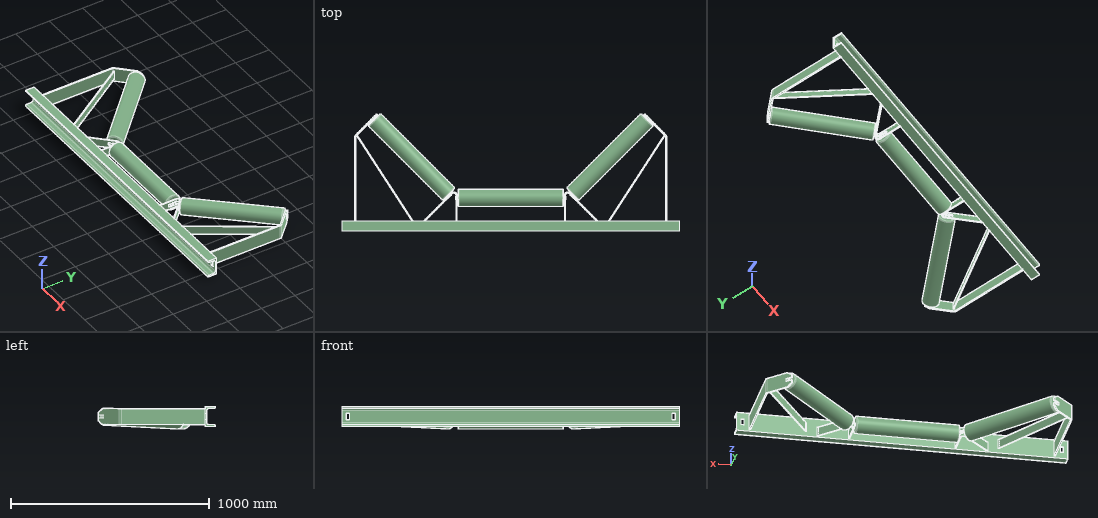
import cadquery as cq
import math

BEAM_LENGTH = 1700.0
BEAM_DEPTH = 51.0
BEAM_HEIGHT = 100.0
WEB_THICKNESS = 7.6
FLANGE_THICKNESS = 10.0
ROOT_RADIUS = 10.0
TOE_RADIUS = 7.0
SLOT_WIDTH = 15.0
SLOT_HEIGHT = 30.0
SLOT_INSET = 30.0

ROLLER_LENGTH = 530.0
ROLLER_DIAMETER = 88.0
ROLLER_EDGE_RADIUS = 5.0
AXLE_SIDE = 14.5
END_GAP = 5.0
CENTRE_ROLLER_Y = 167.0
CENTRE_ROLLER_Z = 30.0

OUTER_STRIP_THICKNESS = 7.6
INNER_STRIP_THICKNESS = 6.0
BEND_RADIUS = 16.2
OUTER_STRIP_HEIGHT = 80.0
INNER_STRIP_HEIGHT = 48.0
UPRIGHT_FACE_X = -785.0
TIP_Y = 590.0
TIP_CHAMFER_ALONG = 27.0
TIP_CHAMFER_ACROSS = 19.0
BRACE_THICKNESS = 5.0
BRACE_HEIGHT = 50.0
BRACE_FOOT_X = -495.0
BRACE_ANGLE = 57

WING_FOOT_X = -308.0
WING_FOOT_Y = 182.0

BEAM_MID_Z = BEAM_HEIGHT / 2
AXLE_LENGTH = ROLLER_LENGTH + 2 * (END_GAP + OUTER_STRIP_THICKNESS)
INNER_FACE_X = -(ROLLER_LENGTH / 2 + END_GAP)
SLOPE = math.sqrt(0.5)

WING_SPAN = ROLLER_LENGTH + 2 * END_GAP
WING_HEAD_X = WING_FOOT_X - WING_SPAN * SLOPE
WING_HEAD_Y = WING_FOOT_Y + WING_SPAN * SLOPE
WING_FOOT = cq.Vector(WING_FOOT_X, WING_FOOT_Y, CENTRE_ROLLER_Z)
WING_HEAD = cq.Vector(WING_HEAD_X, WING_HEAD_Y, BEAM_MID_Z)
WING_CENTRE = (WING_FOOT + WING_HEAD) * 0.5
WING_AXIS = WING_FOOT - WING_HEAD
WING_DOWN = cq.Vector(-SLOPE, -SLOPE, 0)

CENTRE_FRAME = cq.Plane((0, CENTRE_ROLLER_Y, CENTRE_ROLLER_Z), xDir=(0, -1, 0), normal=(1, 0, 0))
WING_FRAME = cq.Plane(WING_CENTRE, xDir=WING_DOWN, normal=WING_AXIS)


def make_beam():
    inner_y = BEAM_DEPTH - WEB_THICKNESS
    beam = (
        cq.Workplane("YZ")
        .polyline([
            (0, 0),
            (BEAM_DEPTH, 0),
            (BEAM_DEPTH, BEAM_HEIGHT),
            (0, BEAM_HEIGHT),
            (0, BEAM_HEIGHT - FLANGE_THICKNESS),
            (inner_y, BEAM_HEIGHT - FLANGE_THICKNESS),
            (inner_y, FLANGE_THICKNESS),
            (0, FLANGE_THICKNESS),
        ])
        .close()
        .extrude(BEAM_LENGTH / 2, both=True)
    )
    for y, radius in ((inner_y, ROOT_RADIUS), (0, TOE_RADIUS)):
        for z in (FLANGE_THICKNESS, BEAM_HEIGHT - FLANGE_THICKNESS):
            corner = cq.selectors.NearestToPointSelector((0, y, z))
            beam = beam.edges("|X").edges(corner).fillet(radius)
    slot_x = BEAM_LENGTH / 2 - SLOT_INSET
    slots = (
        cq.Workplane("XZ", origin=(0, BEAM_DEPTH, BEAM_MID_Z))
        .pushPoints([(-slot_x, 0), (slot_x, 0)])
        .rect(SLOT_WIDTH, SLOT_HEIGHT)
        .extrude(BEAM_DEPTH)
    )
    return beam.cut(slots)


def make_roller(frame):
    drum = (
        cq.Workplane(frame)
        .workplane(offset=-ROLLER_LENGTH / 2)
        .circle(ROLLER_DIAMETER / 2)
        .extrude(ROLLER_LENGTH)
        .edges()
        .fillet(ROLLER_EDGE_RADIUS)
    )
    axle = cq.Workplane(frame).rect(AXLE_SIDE, AXLE_SIDE).extrude(AXLE_LENGTH / 2, both=True)
    return drum.union(axle)


def axle_slot(frame, reach):
    """Axle-wide cutter, from the seat below the axle up to the given reach above its centre."""
    return (
        cq.Workplane(frame)
        .center((AXLE_SIDE / 2 - reach) / 2, 0)
        .rect(reach + AXLE_SIDE / 2, AXLE_SIDE)
        .extrude(AXLE_LENGTH, both=True)
    )


def make_strip(outline, height, mid_z):
    return (
        cq.Workplane("XY", origin=(0, 0, mid_z))
        .polyline(outline)
        .close()
        .extrude(height / 2, both=True)
    )


def round_bend(strip, outer_corner, inner_corner, thickness):
    """Concentric arcs at a bend, the inner one first so that the outer one never breaks through."""
    for (x, y), radius in ((inner_corner, BEND_RADIUS - thickness), (outer_corner, BEND_RADIUS)):
        bend_edge = cq.selectors.NearestToPointSelector((x, y, BEAM_MID_Z))
        strip = strip.edges("|Z").edges(bend_edge).fillet(radius)
    return strip


def make_outer_bracket():
    """Upright whose top is bent inwards by 45 degrees to carry the outer end of a wing roller."""
    sloped_offset = WING_HEAD_Y - WING_HEAD_X + OUTER_STRIP_THICKNESS / SLOPE
    mitre_drop = OUTER_STRIP_THICKNESS * math.tan(math.radians(22.5))
    outer_corner = (UPRIGHT_FACE_X, UPRIGHT_FACE_X + sloped_offset)
    inner_corner = (UPRIGHT_FACE_X + OUTER_STRIP_THICKNESS, outer_corner[1] - mitre_drop)
    tip = (TIP_Y - sloped_offset, TIP_Y)
    step = OUTER_STRIP_THICKNESS * SLOPE
    bracket = make_strip(
        [
            (UPRIGHT_FACE_X, BEAM_DEPTH),
            outer_corner,
            tip,
            (tip[0] + step, tip[1] - step),
            inner_corner,
            (UPRIGHT_FACE_X + OUTER_STRIP_THICKNESS, BEAM_DEPTH),
        ],
        OUTER_STRIP_HEIGHT,
        BEAM_MID_Z,
    )
    bracket = round_bend(bracket, outer_corner, inner_corner, OUTER_STRIP_THICKNESS)
    leg_frame = cq.Plane((*tip, BEAM_MID_Z), xDir=(SLOPE, SLOPE, 0), normal=(SLOPE, -SLOPE, 0))
    half = OUTER_STRIP_HEIGHT / 2
    for side in (1, -1):
        corner = (
            cq.Workplane(leg_frame)
            .polyline([
                (0, side * half),
                (-TIP_CHAMFER_ALONG, side * half),
                (0, side * (half - TIP_CHAMFER_ACROSS)),
            ])
            .close()
            .extrude(OUTER_STRIP_THICKNESS)
        )
        bracket = bracket.cut(corner)
    head_slot = axle_slot(WING_FRAME, ROLLER_DIAMETER)
    return bracket.cut(head_slot)


def make_inner_bracket():
    """Inverted V between the centre roller and a wing roller, slotted across its bend."""
    outer_offset = WING_FOOT_Y - WING_FOOT_X
    outer_corner = (INNER_FACE_X, INNER_FACE_X + outer_offset)
    inner_x = INNER_FACE_X - INNER_STRIP_THICKNESS
    inner_offset = outer_offset - INNER_STRIP_THICKNESS / SLOPE
    inner_corner = (inner_x, inner_x + inner_offset)
    bracket = make_strip(
        [
            (INNER_FACE_X, BEAM_DEPTH),
            outer_corner,
            (BEAM_DEPTH - outer_offset, BEAM_DEPTH),
            (BEAM_DEPTH - inner_offset, BEAM_DEPTH),
            inner_corner,
            (inner_x, BEAM_DEPTH),
        ],
        INNER_STRIP_HEIGHT,
        CENTRE_ROLLER_Z,
    )
    bracket = round_bend(bracket, outer_corner, inner_corner, INNER_STRIP_THICKNESS)
    bracket = bracket.cut(axle_slot(CENTRE_FRAME, ROLLER_DIAMETER))
    return bracket.cut(axle_slot(WING_FRAME, ROLLER_DIAMETER))


def make_brace(outer_bracket):
    """Flat strut from the sloping leg of the outer bracket, at its bend, down to the beam."""
    angle = math.radians(BRACE_ANGLE)
    half_foot = BRACE_THICKNESS / 2 / math.sin(angle)
    leg_offset = WING_HEAD_Y - WING_HEAD_X

    def edge_ends(foot_x):
        """Foot and head of one long edge; the head lies on the lower face of the sloping leg."""
        run = (foot_x + leg_offset - BEAM_DEPTH) / (1 + math.tan(angle))
        head_x = foot_x - run
        return (foot_x, BEAM_DEPTH), (head_x, head_x + leg_offset)

    left_foot, left_head = edge_ends(BRACE_FOOT_X - half_foot)
    right_foot, right_head = edge_ends(BRACE_FOOT_X + half_foot)
    brace = make_strip([left_foot, left_head, right_head, right_foot], BRACE_HEIGHT, BEAM_MID_Z)
    return brace.cut(outer_bracket)


beam = make_beam()
centre_roller = make_roller(CENTRE_FRAME)
bodies = [beam.val(), centre_roller.val()]
outer_bracket = make_outer_bracket()
for left in (make_roller(WING_FRAME), outer_bracket, make_inner_bracket(), make_brace(outer_bracket)):
    bodies.append(left.val())
    bodies.append(left.mirror("YZ").val())

result = cq.Compound.makeCompound(bodies)